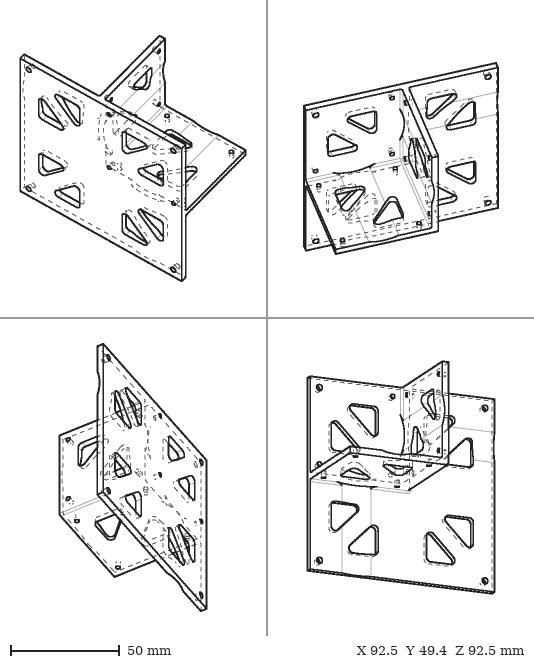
import cadquery as cq

base_side = 92.5
thickness = 3.1
half_side = base_side / 2

fillet_radius = 1.0
cell_centre = 23.1
scoop_radius = 24.2

mount_hole_pitch = 36.8
mount_hole_diameter = 2.0
corner_hole_pitch = 82.9
corner_hole_diameter = 2.8

window_corner_radius = 2.0
window_leg = 17.0
base_window_centre = 23.9
base_window_span = 23.4
floor_window_centre = 22.85
wing_window_span = 25.9

XZ_PLANE = cq.Plane(origin=(0, 0, 0), xDir=(1, 0, 0), normal=(0, -1, 0))
XY_PLANE = cq.Plane(origin=(0, 0, 0), xDir=(1, 0, 0), normal=(0, 0, 1))
YZ_PLANE = cq.Plane(origin=(0, 0, 0), xDir=(0, 1, 0), normal=(1, 0, 0))


def box_between(low, high):
    """Axis-aligned box between two opposite corners."""
    size = [b - a for a, b in zip(low, high)]
    return cq.Workplane("XY").box(*size, centered=False).translate(low)


def make_base():
    """Square plate whose back face lies on Y = 0."""
    return box_between((-half_side, -thickness, -half_side), (half_side, 0, half_side))


def make_wings():
    """L-shaped pair of wings standing on the base, rounded along their shared corner."""
    outer = box_between((-thickness, -thickness, -thickness), (half_side, half_side, half_side))
    inner = box_between((0, -thickness, 0), (half_side, half_side, half_side))
    wings = outer.cut(inner)
    outer_edge = cq.selectors.NearestToPointSelector((-thickness, half_side / 2, -thickness))
    inner_edge = cq.selectors.NearestToPointSelector((0, half_side / 2, 0))
    return wings.edges(outer_edge).fillet(fillet_radius).edges(inner_edge).fillet(fillet_radius)


def fillet_wing_roots(body):
    """Fillet every inside corner between the wings and the back of the base."""
    margin = fillet_radius / 2
    root_zone = cq.selectors.BoxSelector(
        (-thickness - margin, -margin, -thickness - margin),
        (half_side - margin, margin, half_side - margin),
    )
    return body.edges(root_zone).fillet(fillet_radius)


def scoop(plane, start, length):
    """Cylindrical clearance centred on the wing cell, running along the plane's normal."""
    return (
        cq.Workplane(plane)
        .workplane(offset=start)
        .center(cell_centre, cell_centre)
        .circle(scoop_radius)
        .extrude(length)
    )


def through_holes(plane, centre, pitch, diameter):
    """Square pattern of four holes through the plate that lies on the plane."""
    return (
        cq.Workplane(plane)
        .center(*centre)
        .rect(pitch, pitch, forConstruction=True)
        .vertices()
        .circle(diameter / 2)
        .extrude(2 * thickness, both=True)
    )


def window_pair(plane, centre, span, slant):
    """Two triangular windows whose right angles sit at opposite corners of a square.

    The pair is separated by a diagonal bar; slant is the sign of that bar's slope.
    """
    pair = cq.Workplane(plane)
    for side in (-1, 1):
        corner_x = centre[0] + side * span / 2
        corner_y = centre[1] - side * slant * span / 2
        triangle = (
            cq.Workplane(plane)
            .moveTo(corner_x, corner_y)
            .lineTo(corner_x - side * window_leg, corner_y)
            .lineTo(corner_x, corner_y + side * slant * window_leg)
            .close()
            .extrude(2 * thickness, both=True)
            .edges(cq.selectors.ParallelDirSelector(plane.zDir))
            .fillet(window_corner_radius)
        )
        pair = pair.add(triangle)
    return pair.combine()


body = make_base().union(make_wings())
body = fillet_wing_roots(body)

body = body.cut(scoop(XZ_PLANE, -half_side, half_side))
for outer_plane in (XY_PLANE, YZ_PLANE):
    body = body.cut(scoop(outer_plane, -half_side, half_side - thickness))

cell = (cell_centre, cell_centre)
for plane in (XZ_PLANE, XY_PLANE, YZ_PLANE):
    body = body.cut(through_holes(plane, cell, mount_hole_pitch, mount_hole_diameter))
body = body.cut(through_holes(XZ_PLANE, (0, 0), corner_hole_pitch, corner_hole_diameter))

for x_sign in (-1, 1):
    for z_sign in (-1, 1):
        quadrant = (x_sign * base_window_centre, z_sign * base_window_centre)
        body = body.cut(window_pair(XZ_PLANE, quadrant, base_window_span, x_sign * z_sign))

floor_cell = (floor_window_centre, floor_window_centre)
body = body.cut(window_pair(XY_PLANE, floor_cell, wing_window_span, 1))
body = body.cut(window_pair(YZ_PLANE, cell, wing_window_span, -1))

result = body